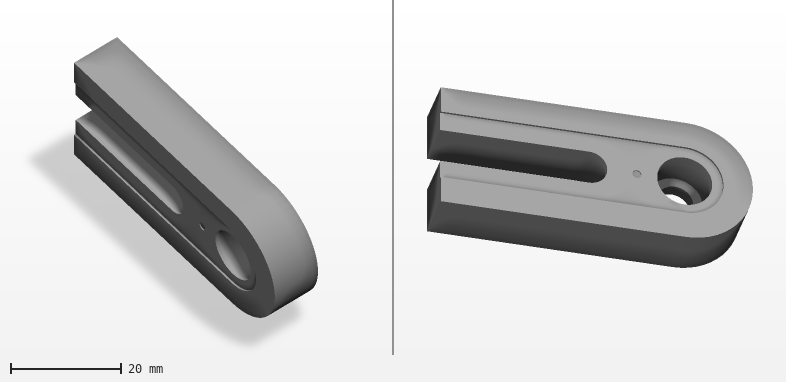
import cadquery as cq

length = 58.4
thickness = 10.0
height = 25.0
bore_x = 45.75

recess_height = 14.3
recess_depth = 0.4

slot_width = 6.8
slot_end_x = 31.25

bore_diameter = 6.8
counterbore_diameter = 10.3
counterbore_depth = 7.0

pin_x = 36.8
pin_diameter = 1.65
pin_depth = 0.25


def round_ended_bar(end_x, bar_height, depth):
    """Bar from X = 0 to a semicircular end at end_x, extending toward +Y."""
    radius = bar_height / 2
    return (
        cq.Workplane("XZ")
        .moveTo(0, -radius)
        .lineTo(end_x - radius, -radius)
        .threePointArc((end_x, 0), (end_x - radius, radius))
        .lineTo(0, radius)
        .close()
        .extrude(-depth)
    )


def round_hole(x, diameter, depth):
    """Cylinder running along +Y from the front face."""
    return cq.Workplane("XZ").center(x, 0).circle(diameter / 2).extrude(-depth)


plate = round_ended_bar(length, height, thickness)
recess = round_ended_bar(bore_x + recess_height / 2, recess_height, recess_depth)
slot = round_ended_bar(slot_end_x, slot_width, thickness)
bore = round_hole(bore_x, bore_diameter, thickness)
counterbore = round_hole(bore_x, counterbore_diameter, recess_depth + counterbore_depth)
pin_hole = round_hole(pin_x, pin_diameter, recess_depth + pin_depth)

result = plate.cut(recess).cut(slot).cut(bore).cut(counterbore).cut(pin_hole)